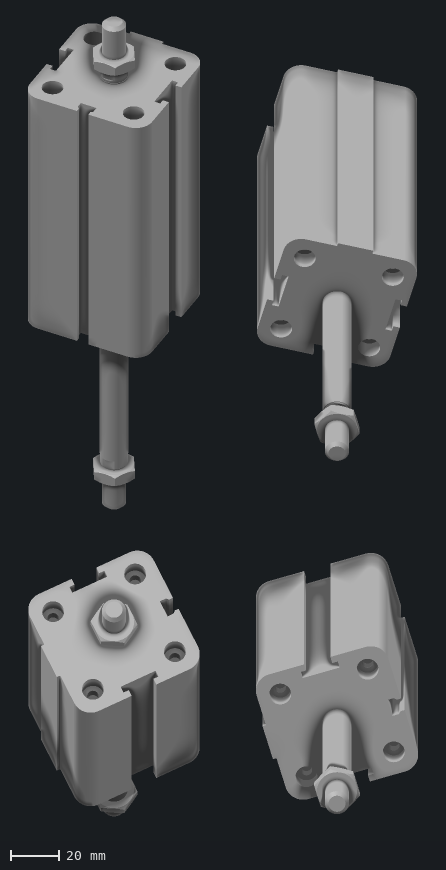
import cadquery as cq
import math

HOUSING_WIDTH = 57.0
HOUSING_HEIGHT = 120.2
CORNER_RADIUS = 7.5
PAD_WIDTH = 15.2
PAD_HEIGHT = 1.5

SIDE_MOUTH_WIDTH = 11.4
SIDE_POCKET_WIDTH = 16.2
SIDE_LIP = 2.8
SIDE_DEPTH = 5.5

FRONT_MOUTH_WIDTH = 5.3
FRONT_POCKET_WIDTH = 7.3
FRONT_LIP = 1.8
FRONT_LIP_SLOPE = 1.0
FRONT_DEPTH = 5.5

HOLE_SPACING = 38.0
COUNTERBORE_DIAMETER = 9.0
COUNTERBORE_DEPTH = 8.8
HOLE_DIAMETER = 4.8
HOLE_DEPTH = 14.5

ROD_LENGTH = 252.5
TOP_EXTENSION = 28.3
BOTTOM_EXTENSION = ROD_LENGTH - HOUSING_HEIGHT - TOP_EXTENSION
ROD_DIAMETER = 12.0
NECK_DIAMETER = 11.5
THREAD_DIAMETER = 10.0
THREAD_LENGTH = 22.0
SHOULDER_DISTANCE = 27.8
TIP_CHAMFER = 1.5
NECK_CHAMFER = (NECK_DIAMETER - THREAD_DIAMETER) / 2
FLAT_WIDTH = 10.0
FLAT_DISTANCE = 26.8

NUT_ACROSS_FLATS = 17.0
NUT_ACROSS_CORNERS = NUT_ACROSS_FLATS / math.cos(math.radians(30))
NUT_THICKNESS = 5.5
NUT_DISTANCE = 16.2
NUT_FACE_DIAMETER = 16.7
NUT_CHAMFER_ANGLE = 30


def box_between(low, high):
    """A box given by two opposite corners."""
    size = [b - a for a, b in zip(low, high)]
    return cq.Workplane("XY").box(*size, centered=False).translate(low)


def side_slot():
    """The T-slot cutter for the +X side."""
    face = HOUSING_WIDTH / 2
    mouth = box_between(
        (face - SIDE_DEPTH, -SIDE_MOUTH_WIDTH / 2, 0), (face, SIDE_MOUTH_WIDTH / 2, HOUSING_HEIGHT)
    )
    pocket = box_between(
        (face - SIDE_DEPTH, -SIDE_POCKET_WIDTH / 2, 0),
        (face - SIDE_LIP, SIDE_POCKET_WIDTH / 2, HOUSING_HEIGHT),
    )
    return mouth.union(pocket)


def front_slot():
    """The T-slot cutter for the -Y side."""
    face = -HOUSING_WIDTH / 2
    half_mouth = FRONT_MOUTH_WIDTH / 2
    half_pocket = FRONT_POCKET_WIDTH / 2
    outline = [
        (half_mouth, face),
        (half_mouth, face + FRONT_LIP),
        (half_pocket, face + FRONT_LIP + FRONT_LIP_SLOPE),
        (half_pocket, face + FRONT_DEPTH),
    ]
    mirrored = [(-x, y) for x, y in reversed(outline)]
    return cq.Workplane("XY").polyline(outline + mirrored).close().extrude(HOUSING_HEIGHT)


def housing_body():
    """The slotted housing with its pad, stepped mounting holes and rod bore."""
    half = HOUSING_WIDTH / 2
    body = (
        cq.Workplane("XY")
        .rect(HOUSING_WIDTH, HOUSING_WIDTH)
        .extrude(HOUSING_HEIGHT)
        .edges("|Z")
        .fillet(CORNER_RADIUS)
    )
    body = body.union(
        box_between((-PAD_WIDTH / 2, 0, 0), (PAD_WIDTH / 2, half + PAD_HEIGHT, HOUSING_HEIGHT))
    )
    slot = side_slot()
    body = body.cut(slot).cut(slot.mirror("YZ")).cut(front_slot())
    for end in (">Z", "<Z"):
        body = (
            body.faces(end)
            .workplane(origin=(0, 0, 0))
            .rect(HOLE_SPACING, HOLE_SPACING, forConstruction=True)
            .vertices()
            .cboreHole(HOLE_DIAMETER, COUNTERBORE_DIAMETER, COUNTERBORE_DEPTH, HOLE_DEPTH)
        )
    bore = cq.Workplane("XY").circle(ROD_DIAMETER / 2).extrude(HOUSING_HEIGHT)
    return body.cut(bore)


def rod_end_profile():
    """Half profile (radius, distance from the tip) of one rod end, up to the full diameter."""
    return [
        (THREAD_DIAMETER / 2 - TIP_CHAMFER, 0),
        (THREAD_DIAMETER / 2, TIP_CHAMFER),
        (THREAD_DIAMETER / 2, THREAD_LENGTH),
        (NECK_DIAMETER / 2, THREAD_LENGTH + NECK_CHAMFER),
        (NECK_DIAMETER / 2, SHOULDER_DISTANCE),
        (ROD_DIAMETER / 2, SHOULDER_DISTANCE),
    ]


def rod_body():
    """A round rod with stepped ends and a pair of wrench flats facing +Y and -Y on each neck."""
    end = rod_end_profile()
    bottom = [(r, -BOTTOM_EXTENSION + d) for r, d in end]
    top = [(r, HOUSING_HEIGHT + TOP_EXTENSION - d) for r, d in reversed(end)]
    outline = [(0, bottom[0][1])] + bottom + top + [(0, top[-1][1])]
    rod = cq.Workplane("XZ").polyline(outline).close().revolve(360, (0, 0, 0), (0, 1, 0))
    for direction, tip in ((1, -BOTTOM_EXTENSION), (-1, HOUSING_HEIGHT + TOP_EXTENSION)):
        z_low, z_high = sorted((tip + direction * THREAD_LENGTH, tip + direction * FLAT_DISTANCE))
        flat_cutter = box_between(
            (-ROD_DIAMETER, FLAT_WIDTH / 2, z_low), (ROD_DIAMETER, ROD_DIAMETER, z_high)
        )
        rod = rod.cut(flat_cutter).cut(flat_cutter.mirror("XZ"))
    return rod


def nut_body(z_low):
    """A hexagon nut with corners along X, chamfered at both faces, its lower face at z_low."""
    corner = NUT_ACROSS_CORNERS / 2
    face = NUT_FACE_DIAMETER / 2
    drop = (corner - face) * math.tan(math.radians(NUT_CHAMFER_ANGLE))
    envelope = (
        cq.Workplane("XZ")
        .polyline([
            (0, 0),
            (face, 0),
            (corner, drop),
            (corner, NUT_THICKNESS - drop),
            (face, NUT_THICKNESS),
            (0, NUT_THICKNESS),
        ])
        .close()
        .revolve(360, (0, 0, 0), (0, 1, 0))
    )
    nut = cq.Workplane("XY").polygon(6, NUT_ACROSS_CORNERS).extrude(NUT_THICKNESS)
    bore = cq.Workplane("XY").circle(THREAD_DIAMETER / 2).extrude(NUT_THICKNESS)
    return nut.intersect(envelope).cut(bore).translate((0, 0, z_low))


housing = housing_body()
rod = rod_body()
nut_heights = (
    -BOTTOM_EXTENSION + NUT_DISTANCE,
    HOUSING_HEIGHT + TOP_EXTENSION - NUT_DISTANCE - NUT_THICKNESS,
)
nuts = [nut_body(z_low) for z_low in nut_heights]

result = cq.Compound.makeCompound([housing.val(), rod.val(), *[nut.val() for nut in nuts]])